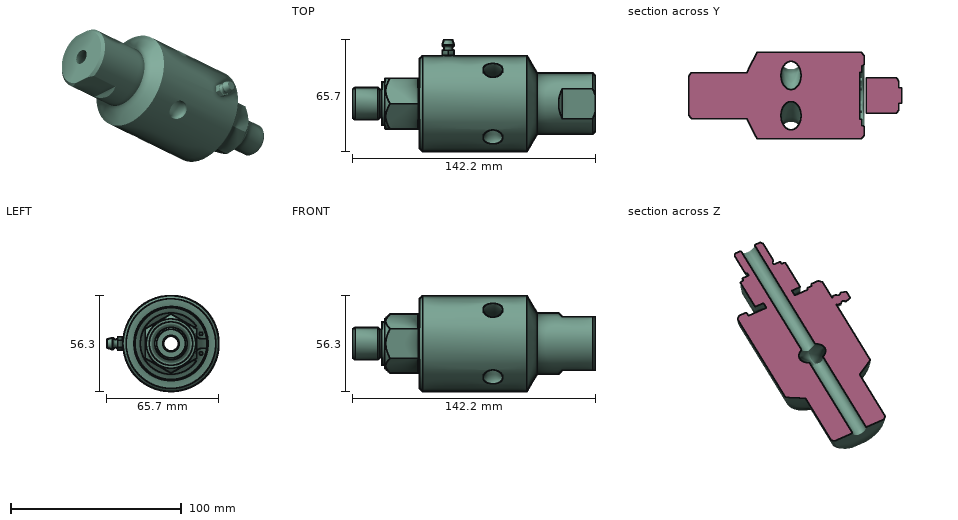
import cadquery as cq
import math


total_length = 142.22
bore_dia = 8.7
bore_mouth_dia = 9.6

thread_dia = 19.01
undercut_dia = 16.8
thread_chamfer = (thread_dia - undercut_dia) / 2
thread_entry_length = 1.5
undercut_start = 15.9
collar_dia = 25.4
collar_start = 17.2
hex_across_flats = 30.0
hex_start = 18.9
hex_end = 38.4
hex_face_dia = 28.9
hex_chamfer_length = 3.1
neck_dia = 19.0

body_dia = 56.3
body_start = 39.2
body_chamfer = 1.9
cone_start = 102.1
cone_end = 108.1

spigot_dia = 36.0
spigot_chamfer = 1.6
flat_across = 31.5
flat_start = 122.9

recess_mouth_dia = 43.5
recess_dia = 42.1
ring_depth = 1.4
ring_thickness = 1.2
ring_inner_dia = 36.0
lug_inner_radius = 15.4
lug_half_angle = 35.0
lug_round_radius = 2.9
lug_hole_dia = 1.98
lug_hole_y = -17.6
lug_hole_z = 5.75
ring_gap = 2 * (lug_hole_z - lug_round_radius)

vent_dia = 11.5
vent_x = 82.2
vent_angles = (45, 135, 225, 315)

nipple_x = 56.0
total_width = 65.68
nipple_tip_y = total_width - body_dia / 2
nipple_stem_dia = 5.36
nipple_stem_depth = 2.0
nipple_root_y = body_dia / 2 - nipple_stem_depth
nipple_hex_across_flats = 7.0
nipple_hex_bottom_y = 28.3
nipple_hex_top_y = 31.2
nipple_base_dia = 6.33
nipple_neck_dia = 5.0
nipple_neck_y = 32.4
nipple_throat_dia = 5.7
nipple_throat_y = 33.4
nipple_rim_dia = 7.1
nipple_rim_bottom_y = 34.0
nipple_rim_top_y = 34.5
nipple_tip_dia = 5.0


def cylinder(dia, start, end):
    """Cylinder on the X axis between two stations."""
    return cq.Workplane("YZ", origin=(start, 0, 0)).circle(dia / 2).extrude(end - start)


def revolve_about_x(points):
    """Solid of revolution about X from (x, radius) points."""
    return cq.Workplane("XY").polyline(points).close().revolve(360, (0, 0, 0), (1, 0, 0))


def make_hexagon():
    """Hexagon with corners up and down and a conical chamfer on its front."""
    corner_dia = hex_across_flats / math.cos(math.radians(30))
    prism = (
        cq.Workplane("YZ", origin=(hex_start, 0, 0))
        .polygon(6, corner_dia)
        .extrude(hex_end - hex_start)
        .rotate((0, 0, 0), (1, 0, 0), 30)
    )
    envelope = revolve_about_x([
        (hex_start, 0),
        (hex_start, hex_face_dia / 2),
        (hex_start + hex_chamfer_length, corner_dia / 2),
        (hex_end, corner_dia / 2),
        (hex_end, 0),
    ])
    return prism.intersect(envelope)


def make_shaft():
    """Threaded end, undercut, collar, hexagon and neck."""
    thread = revolve_about_x([
        (0, 0),
        (0, undercut_dia / 2),
        (thread_entry_length, thread_dia / 2),
        (undercut_start - thread_chamfer, thread_dia / 2),
        (undercut_start, undercut_dia / 2),
        (collar_start, undercut_dia / 2),
        (collar_start, 0),
    ])
    collar = cylinder(collar_dia, collar_start, hex_start)
    neck = cylinder(neck_dia, hex_end, body_start + ring_depth + ring_thickness)
    return thread.union(collar).union(make_hexagon()).union(neck)


def make_body():
    """Housing with chamfered front, cone and spigot, recessed at the front."""
    body_radius = body_dia / 2
    spigot_radius = spigot_dia / 2
    outer = revolve_about_x([
        (body_start, 0),
        (body_start, body_radius - body_chamfer),
        (body_start + body_chamfer, body_radius),
        (cone_start, body_radius),
        (cone_end, spigot_radius),
        (total_length - spigot_chamfer, spigot_radius),
        (total_length, spigot_radius - spigot_chamfer),
        (total_length, 0),
    ])
    mouth_chamfer = (recess_mouth_dia - recess_dia) / 2
    recess_end = body_start + ring_depth + ring_thickness
    recess = revolve_about_x([
        (body_start, 0),
        (body_start, recess_mouth_dia / 2),
        (body_start + mouth_chamfer, recess_dia / 2),
        (recess_end, recess_dia / 2),
        (recess_end, 0),
    ])
    return outer.cut(recess)


def make_flat_cutters():
    """Stock removed above and below the spigot, with a 45 degree run-out."""
    flat_z = flat_across / 2
    run_out = spigot_dia / 2 - flat_z
    upper = (
        cq.Workplane("XZ")
        .polyline([
            (flat_start, flat_z),
            (total_length, flat_z),
            (total_length, flat_z + run_out),
            (flat_start - run_out, flat_z + run_out),
        ])
        .close()
        .extrude(spigot_dia / 2, both=True)
    )
    return upper.union(upper.mirror("XY"))


def make_retaining_ring():
    """Internal retaining ring, open on the -Y side between two drilled lugs."""
    start = body_start + ring_depth
    end = start + ring_thickness
    ring = cylinder(recess_dia, start, end).cut(cylinder(ring_inner_dia, start, end))

    reach = recess_dia
    spread = reach * math.tan(math.radians(lug_half_angle))
    wedge = (
        cq.Workplane("YZ", origin=(start, 0, 0))
        .polyline([(0, 0), (-reach, spread), (-reach, -spread)])
        .close()
        .extrude(ring_thickness)
    )
    lug_band = cylinder(recess_dia, start, end).cut(cylinder(2 * lug_inner_radius, start, end))
    ring = ring.union(lug_band.intersect(wedge))

    gap = (
        cq.Workplane("YZ", origin=(start, -reach / 2, 0))
        .rect(reach, ring_gap)
        .extrude(ring_thickness)
    )
    ring = ring.cut(gap)

    round_mid = lug_round_radius * math.sqrt(0.5)
    corner_reach = lug_round_radius + ring_gap / 4
    for side in (1, -1):
        corner = (
            cq.Workplane("YZ", origin=(start, lug_hole_y, side * lug_hole_z))
            .moveTo(0, -side * lug_round_radius)
            .threePointArc((round_mid, -side * round_mid), (lug_round_radius, 0))
            .lineTo(corner_reach, 0)
            .lineTo(corner_reach, -side * corner_reach)
            .lineTo(0, -side * corner_reach)
            .close()
            .extrude(ring_thickness)
        )
        hole = (
            cq.Workplane("YZ", origin=(start, lug_hole_y, side * lug_hole_z))
            .circle(lug_hole_dia / 2)
            .extrude(ring_thickness)
        )
        ring = ring.cut(corner).cut(hole)
    return ring


def make_vent_holes():
    """Four radial holes running from the outside of the body to its axis."""
    first = cq.Workplane("XY", origin=(vent_x, 0, 0)).circle(vent_dia / 2).extrude(body_dia)
    holes = cq.Workplane("XY")
    for angle in vent_angles:
        holes = holes.add(first.rotate((0, 0, 0), (1, 0, 0), angle))
    return holes.combine()


def make_nipple():
    """Grease nipple: turned head and stem with a small hexagon at its foot."""
    hex_corner_dia = nipple_hex_across_flats / math.cos(math.radians(30))
    turned = (
        cq.Workplane("XY")
        .moveTo(0, nipple_root_y)
        .lineTo(nipple_stem_dia / 2, nipple_root_y)
        .lineTo(nipple_stem_dia / 2, nipple_hex_top_y)
        .lineTo(nipple_base_dia / 2, nipple_hex_top_y)
        .threePointArc((nipple_neck_dia / 2, nipple_neck_y), (nipple_throat_dia / 2, nipple_throat_y))
        .lineTo(nipple_rim_dia / 2, nipple_rim_bottom_y)
        .lineTo(nipple_rim_dia / 2, nipple_rim_top_y)
        .lineTo(nipple_tip_dia / 2, nipple_tip_y)
        .lineTo(0, nipple_tip_y)
        .close()
        .revolve(360, (0, 0, 0), (0, 1, 0))
    )
    foot = (
        cq.Workplane("XZ", origin=(0, nipple_hex_bottom_y, 0))
        .polygon(6, hex_corner_dia)
        .extrude(nipple_hex_bottom_y - nipple_hex_top_y)
        .rotate((0, 0, 0), (0, 1, 0), 30)
    )
    return turned.union(foot).translate((nipple_x, 0, 0))


def make_bore():
    """Through bore with a small 45 degree countersink at the threaded end."""
    countersink_depth = (bore_mouth_dia - bore_dia) / 2
    return revolve_about_x([
        (0, 0),
        (0, bore_mouth_dia / 2),
        (countersink_depth, bore_dia / 2),
        (total_length, bore_dia / 2),
        (total_length, 0),
    ])


housing = make_body().cut(make_flat_cutters()).union(make_retaining_ring())
assembly = housing.union(make_shaft()).cut(make_vent_holes()).union(make_nipple())
result = assembly.cut(make_bore())